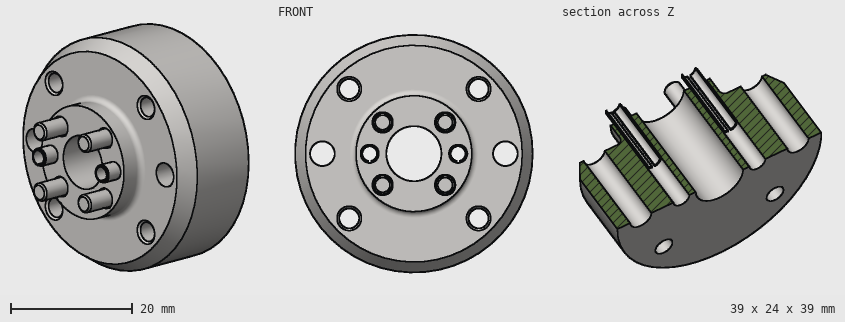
import cadquery as cq
import math

flange_diameter = 39.0
flange_thickness = 15.0
bevel_length = 3.0
bevel_angle = 30.0
boss_diameter = 19.0
boss_height = 4.0
boss_fillet = 1.0
bore_diameter = 9.0

flange_hole_circle_radius = 15.0
tapped_hole_diameter = 3.24
tapped_hole_mouth_diameter = 4.0
tapped_hole_angles = [45, 135, 225, 315]
plain_hole_diameter = 4.0
plain_hole_angles = [0, 180]

pin_circle_radius = 7.25
pin_diameter = 3.0
pin_hole_diameter = 3.4
pin_projection = 5.0
pin_chamfer = 0.3
pin_angles = [45, 135, 225, 315]
sleeve_diameter = 3.0
sleeve_bore_diameter = 2.4
sleeve_slit_width = 0.5
sleeve_projection = 3.0
sleeve_chamfer_length = 0.25
sleeve_chamfer_width = 0.12
sleeve_angles = [0, 180]
seat_depth = 10.0

flange_radius = flange_diameter / 2
boss_radius = boss_diameter / 2
flange_face_radius = flange_radius - bevel_length * math.tan(math.radians(bevel_angle))
housing_length = flange_thickness + boss_height
flange_front = -flange_thickness
boss_front = -housing_length
seat_floor = boss_front + seat_depth


def on_circle(radius, angle):
    """X and Z of a point on a circle about the Y axis."""
    turn = math.radians(angle)
    return radius * math.cos(turn), radius * math.sin(turn)


def rod(diameter, back, length, center=(0, 0)):
    """Cylinder whose back end lies at Y = back and which runs towards -Y."""
    x, z = center
    plane = cq.Workplane("XZ", origin=(x, back, z))
    return plane.circle(diameter / 2).extrude(length)


def make_blank():
    """Turned outline of the bevelled flange and filleted boss."""
    fillet_mid_offset = boss_fillet * (1 - math.sqrt(0.5))
    profile = (
        cq.Workplane("XY")
        .lineTo(flange_radius, 0)
        .lineTo(flange_radius, flange_front + bevel_length)
        .lineTo(flange_face_radius, flange_front)
        .lineTo(boss_radius + boss_fillet, flange_front)
        .threePointArc(
            (boss_radius + fillet_mid_offset, flange_front - fillet_mid_offset),
            (boss_radius, flange_front - boss_fillet),
        )
        .lineTo(boss_radius, boss_front)
        .lineTo(0, boss_front)
        .close()
    )
    return profile.revolve(360, (0, 0, 0), (0, 1, 0))


def tapped_hole_cutter(center):
    """Through hole with a 45 degree countersink at the flange face."""
    x, z = center
    hole = rod(tapped_hole_diameter, 0, flange_thickness, center)
    countersink_depth = (tapped_hole_mouth_diameter - tapped_hole_diameter) / 2
    countersink = cq.Solid.makeCone(
        tapped_hole_mouth_diameter / 2,
        tapped_hole_diameter / 2,
        countersink_depth,
        pnt=cq.Vector(x, flange_front, z),
        dir=cq.Vector(0, 1, 0),
    )
    return hole.union(cq.Workplane(countersink))


def make_housing():
    body = make_blank().cut(rod(bore_diameter, 0, housing_length))
    for angle in tapped_hole_angles:
        body = body.cut(tapped_hole_cutter(on_circle(flange_hole_circle_radius, angle)))
    for angle in plain_hole_angles:
        center = on_circle(flange_hole_circle_radius, angle)
        body = body.cut(rod(plain_hole_diameter, 0, flange_thickness, center))
    for angle in pin_angles:
        center = on_circle(pin_circle_radius, angle)
        body = body.cut(rod(pin_hole_diameter, seat_floor, seat_depth, center))
    for angle in sleeve_angles:
        center = on_circle(pin_circle_radius, angle)
        body = body.cut(rod(sleeve_diameter, 0, housing_length, center))
    return body


def make_pin(center):
    pin = rod(pin_diameter, seat_floor, seat_depth + pin_projection, center)
    return pin.faces("<Y").chamfer(pin_chamfer)


def make_sleeve(center):
    """Spring sleeve: a thin tube, slit along its lower side."""
    x, z = center
    length = seat_depth + sleeve_projection
    sleeve = rod(sleeve_diameter, seat_floor, length, center)
    sleeve = sleeve.faces("<Y").chamfer(sleeve_chamfer_length, sleeve_chamfer_width)
    sleeve = sleeve.cut(rod(sleeve_bore_diameter, seat_floor, length, center))
    slit = cq.Workplane("XY").box(
        sleeve_slit_width, length, sleeve_diameter, centered=(True, False, False)
    )
    return sleeve.cut(slit.translate((x, seat_floor - length, z - sleeve_diameter)))


housing = make_housing()
pins = [make_pin(on_circle(pin_circle_radius, angle)) for angle in pin_angles]
sleeves = [make_sleeve(on_circle(pin_circle_radius, angle)) for angle in sleeve_angles]

result = cq.Compound.makeCompound(
    [housing.val()] + [pin.val() for pin in pins] + [sleeve.val() for sleeve in sleeves]
)